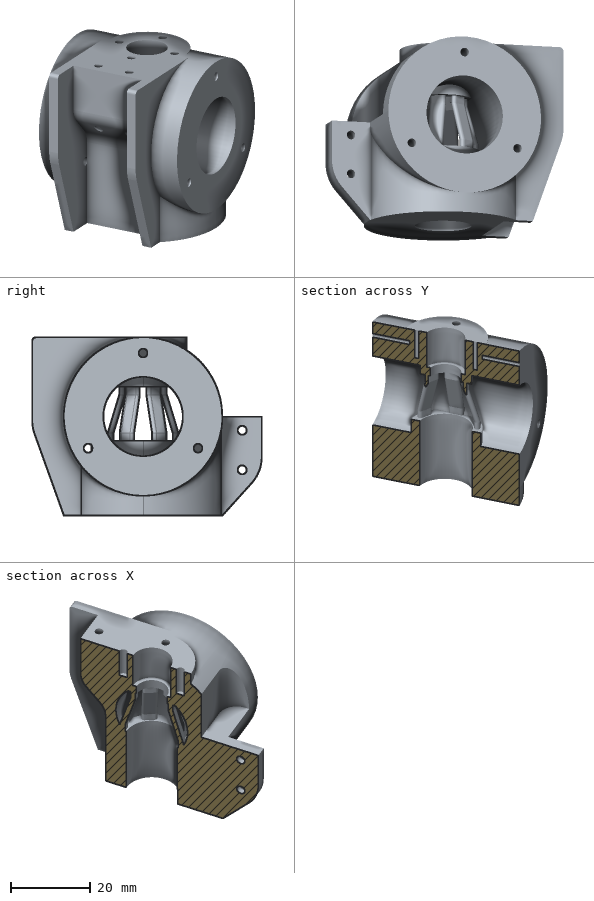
import cadquery as cq


width = 40.0
barrel_radius = width / 2
top_z = barrel_radius
bottom_z = -25.0
bore_radius = 20.0 / 2

boss_diameter = 22.0
top_bore_diameter = 10.5
lip_bore_diameter = 8.5

upper_collar_diameter = 14.3
upper_collar_z = 7.5
lower_collar_diameter = 19.25
lower_collar_z = -6.1
lower_bore_diameter = 14.3
collar_overlap = 1.15
rib_count = 6
rib_start_angle = 30
rib_thickness = 1.5
rib_length = 4.05
rib_upper_radius = 5.3
rib_lower_radius = 8.2
rib_straight = 2.0

plate_front_y = -28.0
plate_foot_y = -barrel_radius
plate_knee_z = -2.7
plate_outer_x = 12.5
plate_gap = 19.95
plate_top_radius = 1.0
plate_knee_radius = 10.0

web_upper_y = -20.0
web_lower_y = -13.05
web_upper_z = 6.0
web_lower_z = web_upper_z - (web_lower_y - web_upper_y)
web_fillet = 5.0

tab_width = 6.05
tab_rear_y = 30.0
tab_corner_z = -14.0
tab_corner_radius = 10.0
tab_root_y = 17.4

pocket_width = 30.0
pocket_front_y = 14.0
pocket_corner_radius = 5.0

screw_diameter = 2.2
side_circle_radius = 16.0
side_hole_count = 3
side_hole_depth = (width - plate_gap) / 2
top_circle_radius = 8.0
top_hole_count = 4
top_hole_depth = 8.0
web_hole_spacing = 8.95
web_hole_y = -17.0
tab_hole_y = 25.0
tab_hole_heights = (-3.5, -13.45)


def vertical_cylinder(diameter, z_low, z_high):
    return cq.Workplane("XY").workplane(offset=z_low).circle(diameter / 2).extrude(z_high - z_low)


def profile_prism(points, thickness):
    """Closed Y-Z outline extruded along X, centred on X = 0."""
    return cq.Workplane("YZ").polyline(points).close().extrude(thickness / 2, both=True)


def edge_near(y, z):
    """Selector for the edge along X closest to the given corner."""
    return cq.selectors.NearestToPointSelector((0, y, z))


def make_barrels():
    horizontal = cq.Workplane("YZ").circle(barrel_radius).extrude(width / 2, both=True)
    lower = vertical_cylinder(2 * barrel_radius, bottom_z, 0)
    boss = vertical_cylinder(boss_diameter, 0, top_z)
    return horizontal.union(lower).union(boss)


def make_plate_block():
    """Solid block with the outline of the plates; the gap is cut out later."""
    block = profile_prism(
        [
            (0, top_z),
            (plate_front_y, top_z),
            (plate_front_y, plate_knee_z),
            (plate_foot_y, bottom_z),
            (0, bottom_z),
        ],
        2 * plate_outer_x,
    )
    block = block.edges(edge_near(plate_front_y, top_z)).fillet(plate_top_radius)
    return block.edges(edge_near(plate_front_y, plate_knee_z)).fillet(plate_knee_radius)


def make_plate_gap():
    """Space between the plates, ending at the stepped web."""
    gap = profile_prism(
        [
            (plate_front_y, top_z),
            (web_upper_y, top_z),
            (web_upper_y, web_upper_z),
            (web_lower_y, web_lower_z),
            (web_lower_y, bottom_z),
            (plate_front_y, bottom_z),
        ],
        plate_gap,
    )
    gap = gap.edges(edge_near(web_upper_y, web_upper_z)).fillet(web_fillet)
    return gap.edges(edge_near(web_lower_y, web_lower_z)).fillet(web_fillet)


def make_tab():
    tab = profile_prism(
        [
            (tab_root_y, 0),
            (tab_rear_y, 0),
            (tab_rear_y, tab_corner_z),
            (barrel_radius, bottom_z),
            (tab_root_y, bottom_z),
        ],
        tab_width,
    )
    tab = tab.edges(edge_near(tab_rear_y, tab_corner_z)).fillet(tab_corner_radius)
    holes = (
        cq.Workplane("YZ")
        .pushPoints([(tab_hole_y, z) for z in tab_hole_heights])
        .circle(screw_diameter / 2)
        .extrude(tab_width, both=True)
    )
    return tab.cut(holes)


def make_pocket():
    """Pocket open to the top and rear, with two rounded front corners."""
    pocket_length = barrel_radius - pocket_front_y
    return (
        cq.Workplane("XY")
        .center(0, pocket_front_y + pocket_length / 2)
        .rect(pocket_width, pocket_length)
        .extrude(top_z)
        .edges("|Z and <Y")
        .fillet(pocket_corner_radius)
    )


def make_collars():
    upper = vertical_cylinder(upper_collar_diameter, upper_collar_z, bore_radius + collar_overlap)
    lower = vertical_cylinder(lower_collar_diameter, -bore_radius - collar_overlap, lower_collar_z)
    return upper.union(lower)


def rib_segment(lower_radius, z_low, upper_radius, z_high):
    """Piece of a rib with a round-ended section, leaning inwards if the radii differ."""
    return (
        cq.Workplane("XY", origin=(lower_radius, 0, z_low))
        .slot2D(rib_length, rib_thickness, 90)
        .workplane(offset=z_high - z_low)
        .center(upper_radius - lower_radius, 0)
        .slot2D(rib_length, rib_thickness, 90)
        .loft(ruled=True)
    )


def make_rib():
    lower_knee_z = lower_collar_z + rib_straight
    upper_knee_z = upper_collar_z - rib_straight
    foot = rib_segment(rib_lower_radius, lower_collar_z, rib_lower_radius, lower_knee_z)
    slope = rib_segment(rib_lower_radius, lower_knee_z, rib_upper_radius, upper_knee_z)
    head = rib_segment(rib_upper_radius, upper_knee_z, rib_upper_radius, upper_collar_z)
    return foot.union(slope).union(head)


def make_vertical_bores():
    top = vertical_cylinder(top_bore_diameter, bore_radius, top_z)
    lip = vertical_cylinder(lip_bore_diameter, upper_collar_z, bore_radius)
    lower = vertical_cylinder(lower_bore_diameter, bottom_z, lower_collar_z)
    return top.union(lip).union(lower)


def make_side_holes():
    """Screw holes through both end flanges, one of them at the top of the circle."""
    holes = cq.Workplane("YZ")
    for x_start in (-width / 2, width / 2 - side_hole_depth):
        row = (
            cq.Workplane("YZ", origin=(x_start, 0, 0))
            .polarArray(side_circle_radius, 90, 360, side_hole_count)
            .circle(screw_diameter / 2)
            .extrude(side_hole_depth)
        )
        holes = holes.add(row)
    return holes.combine()


def make_top_holes():
    return (
        cq.Workplane("XY", origin=(0, 0, top_z))
        .polarArray(top_circle_radius, 0, 360, top_hole_count)
        .circle(screw_diameter / 2)
        .extrude(-top_hole_depth)
    )


def make_web_holes():
    """Vertical holes through the front overhang of the web."""
    return (
        cq.Workplane("XY", origin=(0, web_hole_y, web_lower_z))
        .rarray(web_hole_spacing, 0.6, 2, 1)
        .circle(screw_diameter / 2)
        .extrude(top_z - web_lower_z)
    )


housing = make_barrels().union(make_plate_block()).cut(make_plate_gap())
housing = housing.union(make_tab()).cut(make_pocket())

horizontal_bore = cq.Workplane("YZ").circle(bore_radius).extrude(width / 2, both=True)
housing = housing.cut(horizontal_bore).union(make_collars()).cut(make_vertical_bores())

housing = housing.cut(make_side_holes()).cut(make_top_holes()).cut(make_web_holes())

rib = make_rib()
for index in range(rib_count):
    angle = rib_start_angle + index * 360 / rib_count
    housing = housing.union(rib.rotate((0, 0, 0), (0, 0, 1), angle))

result = housing